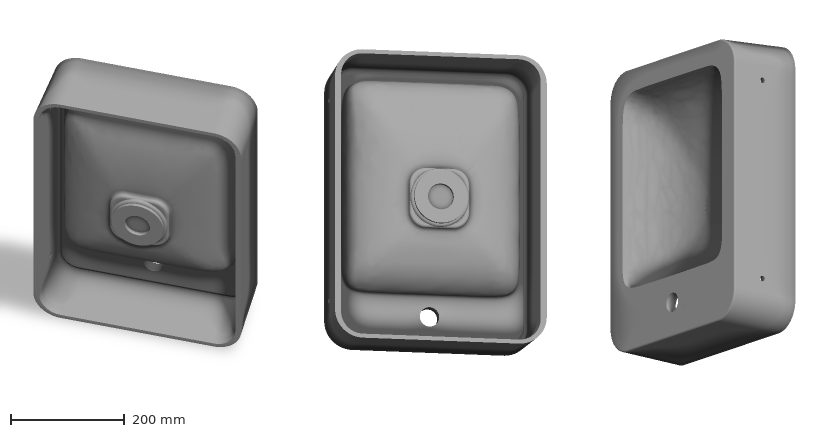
import cadquery as cq
import math

WIDTH = 379.5
DEPTH = 130.0
HEIGHT = 519.0
DRAFT = 1.9
OUTER_CORNER = 50.0
DECK_EDGE_FILLET = 3.0
OPEN_Y = -DEPTH / 2
DECK_Y = DEPTH / 2

SIDE_WALL = 11.0
END_WALL = 7.5
INNER_CORNER = 39.0
GROOVE_FLOOR_Y = 49.0
GROOVE_FILLET = 6.0

UNDERSIDE_Y = 44.5
UNDERSIDE_WIDTH = WIDTH - 2 * 22.0
UNDERSIDE_HEIGHT = HEIGHT - 2 * 23.5
UNDERSIDE_CORNER = 31.5
SLOPE_SIDE = 2.5
SLOPE_END = 7.5

BOWL_SIDE = 159.0
BOWL_TOP = 225.0
BOWL_BOTTOM = 155.0
OUTLINE_EXPONENT = 10.0
OUTLINE_POINTS = 72
PROFILE_EXPONENT = 2.5
BOWL_LAST_SCALE = 0.2
BOWL_SECTIONS = 7
BOWL_FLOOR_Y = -45.0
BOWL_ROOT_FILLET = 3.5
SHELL = 10.5

PAD_SIZE = 107.5
PAD_CORNER = 29.0
PAD_Y = -54.0
PAD_ROOT_FILLET = 5.0
PAD_EDGE_FILLET = 4.5
SEAT_RADIUS = 47.0
SEAT_Y = OPEN_Y
SEAT_FLARE = 5.0
SEAT_FOOT = 2.0
DRAIN_DIAMETER = 46.0
DRAIN_LENGTH = 8.0

COVER_RADIUS = SEAT_RADIUS - SHELL
COVER_SEAT_Y = SEAT_Y + DRAIN_LENGTH
BOWL_INSIDE_Y = BOWL_FLOOR_Y + SHELL

TAP_DIAMETER = 35.0
TAP_Z = -194.0
FIXING_DIAMETER = 10.0
FIXING_Y = 5.0
FIXING_Z = 180.0
FIXING_LENGTH = 21.0
SELECT_MARGIN = 2.5


def plane_at(y):
    """XZ plane at the given Y, with its normal towards +Y and its local Y towards -Z."""
    return cq.Workplane(cq.Plane(origin=(0, y, 0), xDir=(1, 0, 0), normal=(0, 1, 0)))


def cylinder(radius, start_y, end_y):
    """Cylinder on the drain axis."""
    return plane_at(start_y).circle(radius).extrude(end_y - start_y)


def drafted_block(width, height, corner, end_y):
    """Rounded block from the open side to end_y, narrowing by the draft angle."""
    body = plane_at(OPEN_Y).rect(width, height).extrude(end_y - OPEN_Y, taper=DRAFT)
    return body.edges("not(#Y)").fillet(corner)


def bowl_outline(y, side, top, bottom):
    """Closed superellipse outline around the drain axis, taller above the axis than below it."""
    points = []
    for i in range(OUTLINE_POINTS):
        angle = math.pi + 2 * math.pi * i / OUTLINE_POINTS
        across = math.cos(angle)
        up = math.sin(angle)
        reach = top if up > 0 else bottom
        norm = abs(across / side) ** OUTLINE_EXPONENT + abs(up / reach) ** OUTLINE_EXPONENT
        radius = norm ** (-1 / OUTLINE_EXPONENT)
        points.append(cq.Vector(radius * across, y, radius * up))
    return cq.Wire.assembleEdges([cq.Edge.makeSpline(points, periodic=True)])


def bowl_solid(inset, mouth_y, floor_y):
    """Dome from its mouth to its floor, its reach reduced by the inset on every side."""
    outlines = []
    last_angle = math.acos(BOWL_LAST_SCALE ** (PROFILE_EXPONENT / 2))
    for i in range(BOWL_SECTIONS):
        angle = last_angle * i / (BOWL_SECTIONS - 1)
        scale = math.cos(angle) ** (2 / PROFILE_EXPONENT)
        rise = (math.sin(angle) / math.sin(last_angle)) ** (2 / PROFILE_EXPONENT)
        y = mouth_y + (floor_y - mouth_y) * rise
        outlines.append(
            bowl_outline(
                y, (BOWL_SIDE - inset) * scale, (BOWL_TOP - inset) * scale, (BOWL_BOTTOM - inset) * scale
            )
        )
    return cq.Workplane(cq.Solid.makeLoft(outlines))


def make_shell():
    """Open box with the groove and the raised area on the underside of its deck."""
    outside = drafted_block(WIDTH, HEIGHT, OUTER_CORNER, DECK_Y)
    outside = outside.faces(">Y").edges().fillet(DECK_EDGE_FILLET)
    hollow = drafted_block(WIDTH - 2 * SIDE_WALL, HEIGHT - 2 * END_WALL, INNER_CORNER, GROOVE_FLOOR_Y)
    hollow = hollow.faces(">Y").edges().fillet(GROOVE_FILLET)

    border_rise = GROOVE_FLOOR_Y - UNDERSIDE_Y
    flat = cq.Sketch().rect(UNDERSIDE_WIDTH, UNDERSIDE_HEIGHT).vertices().fillet(UNDERSIDE_CORNER)
    foot = (
        cq.Sketch()
        .rect(UNDERSIDE_WIDTH + 2 * SLOPE_SIDE, UNDERSIDE_HEIGHT + 2 * SLOPE_END)
        .vertices()
        .fillet(UNDERSIDE_CORNER + SLOPE_SIDE)
        .moved(cq.Location(cq.Vector(0, 0, border_rise)))
    )
    raised = plane_at(UNDERSIDE_Y).placeSketch(flat, foot).loft()
    return outside.cut(hollow).union(raised)


def edges_within(half_size, near_y, far_y):
    """Selects edges lying wholly in a square region around the drain axis between two Y values."""
    return cq.selectors.BoxSelector(
        (-half_size, near_y, -half_size), (half_size, far_y, half_size), boundingbox=True
    )


def add_bowl(basin):
    """The dome under the deck, with a small fillet where it meets the deck underside."""
    basin = basin.union(bowl_solid(0, UNDERSIDE_Y, BOWL_FLOOR_Y))
    root = edges_within(BOWL_TOP + SELECT_MARGIN, UNDERSIDE_Y - SELECT_MARGIN, UNDERSIDE_Y + SELECT_MARGIN)
    mouth = basin.edges(root).edges(cq.selectors.BoxSelector(
        (-UNDERSIDE_WIDTH / 2 + SELECT_MARGIN, OPEN_Y, -HEIGHT / 2),
        (UNDERSIDE_WIDTH / 2 - SELECT_MARGIN, DECK_Y, HEIGHT / 2),
        boundingbox=True,
    ))
    return mouth.fillet(BOWL_ROOT_FILLET)


def add_drain_pad(basin):
    """Square pad on the bowl floor with a rounded edge and a fillet around its foot."""
    pad = plane_at(PAD_Y).rect(PAD_SIZE, PAD_SIZE).extrude(BOWL_INSIDE_Y - PAD_Y)
    pad = pad.edges("|Y").fillet(PAD_CORNER).faces("<Y").edges().fillet(PAD_EDGE_FILLET)
    foot = edges_within(PAD_SIZE / 2 + SELECT_MARGIN, PAD_Y + PAD_EDGE_FILLET + 0.5, BOWL_INSIDE_Y)
    return basin.union(pad).edges(foot).fillet(PAD_ROOT_FILLET)


def add_drain_seat(basin):
    """Round disc on the pad, flaring out to meet it."""
    seat = (
        cq.Workplane("XY")
        .moveTo(0, SEAT_Y)
        .lineTo(SEAT_RADIUS, SEAT_Y)
        .lineTo(SEAT_RADIUS, PAD_Y - SEAT_FLARE)
        .radiusArc((SEAT_RADIUS + SEAT_FLARE, PAD_Y), -SEAT_FLARE)
        .lineTo(SEAT_RADIUS + SEAT_FLARE, PAD_Y + SEAT_FOOT)
        .lineTo(0, PAD_Y + SEAT_FOOT)
        .close()
        .revolve(360, (0, 0, 0), (0, 1, 0))
    )
    return basin.union(seat)


def cut_hollows(basin):
    """Opens the bowl through the deck, with the cover recess and the drain hole in its floor."""
    cavity = bowl_solid(SHELL, DECK_Y, BOWL_INSIDE_Y)
    recess = cylinder(COVER_RADIUS, COVER_SEAT_Y, BOWL_FLOOR_Y + 2 * SHELL)
    drain = cylinder(DRAIN_DIAMETER / 2, SEAT_Y, BOWL_INSIDE_Y)
    return basin.cut(cavity).cut(recess).cut(drain)


def cut_holes(basin):
    """Tap hole through the deck, and two fixing holes through the -X wall."""
    tap = plane_at(OPEN_Y).center(0, -TAP_Z).circle(TAP_DIAMETER / 2).extrude(DEPTH)
    basin = basin.cut(tap)
    for z in (-FIXING_Z, FIXING_Z):
        start = cq.Workplane("YZ", origin=(-WIDTH / 2, FIXING_Y, z))
        fixing = start.circle(FIXING_DIAMETER / 2).extrude(FIXING_LENGTH)
        basin = basin.cut(fixing)
    return basin


def make_basin():
    basin = add_bowl(make_shell())
    basin = add_drain_pad(basin)
    basin = add_drain_seat(basin)
    basin = cut_hollows(basin)
    return cut_holes(basin).solids()


def make_cover():
    return cylinder(COVER_RADIUS, COVER_SEAT_Y, BOWL_INSIDE_Y)


basin = make_basin()
cover = make_cover()
result = cq.Compound.makeCompound([basin.val(), cover.val()])